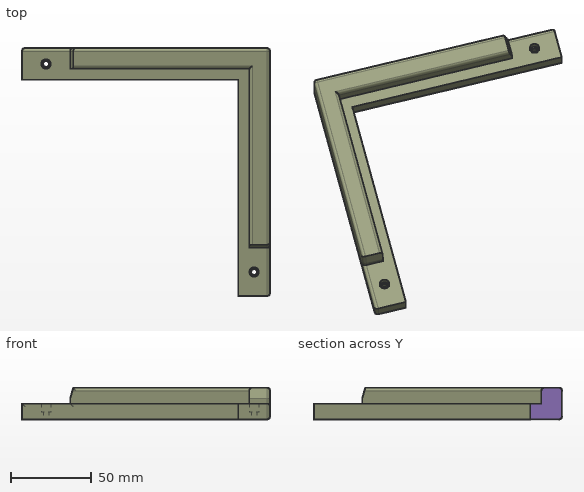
import cadquery as cq

leg_length = 155.0
leg_width = 20.0
base_height = leg_width / 2
total_height = leg_width
edge_radius = 2.0

ridge_width = 13.0
ridge_setback = 30.0
ridge_foot_height = 3.3
ridge_end_lean = 2.0

hole_diameter = 3.5
bore_diameter = 5.9
bore_depth = base_height / 2
hole_end_distance = 15.0


def l_prism(width, bottom, top):
    """L-shaped prism whose corner lies at the +X, +Y end of both legs."""
    inner = leg_length - width
    return (
        cq.Workplane("XY", origin=(0, 0, bottom))
        .moveTo(0, inner)
        .lineTo(inner, inner)
        .lineTo(inner, 0)
        .lineTo(leg_length, 0)
        .lineTo(leg_length, leg_length)
        .lineTo(0, leg_length)
        .close()
        .extrude(top - bottom)
    )


def ridge_envelope(plane):
    """Side outline of one ridge leg, with an upright foot and a leaning end, swept across the part."""
    sweep_to_positive_side = leg_length if plane == "YZ" else -leg_length
    return (
        cq.Workplane(plane)
        .moveTo(ridge_setback, base_height)
        .lineTo(ridge_setback, base_height + ridge_foot_height)
        .lineTo(ridge_setback + ridge_end_lean, total_height)
        .lineTo(leg_length, total_height)
        .lineTo(leg_length, base_height)
        .close()
        .extrude(sweep_to_positive_side)
    )


def make_ridge():
    """L-shaped ridge with leaning ends and rounded top edges along the inside of the L."""
    ridge = l_prism(ridge_width, base_height, total_height)
    ridge = ridge.intersect(ridge_envelope("XZ")).intersect(ridge_envelope("YZ"))
    inner = leg_length - ridge_width
    margin = 0.02
    low = total_height - margin
    high = total_height + margin
    edge_along_x = cq.selectors.BoxSelector((0, inner - margin, low), (inner, inner + margin, high))
    edge_along_y = cq.selectors.BoxSelector((inner - margin, 0, low), (inner + margin, inner, high))
    return ridge.edges(edge_along_x + edge_along_y).fillet(edge_radius)


def screw_hole_cutters():
    """Through holes joined with their counterbores."""
    centre_line = leg_length - leg_width / 2
    centres = [(hole_end_distance, centre_line), (centre_line, hole_end_distance)]
    top_plane = cq.Workplane("XY", origin=(0, 0, base_height)).pushPoints(centres)
    holes = top_plane.circle(hole_diameter / 2).extrude(-base_height)
    bores = top_plane.circle(bore_diameter / 2).extrude(-bore_depth)
    return holes.union(bores)


body = l_prism(leg_width, 0, base_height).union(make_ridge())
body = body.faces(">X or >Y").edges().fillet(edge_radius)
result = body.cut(screw_hole_cutters())